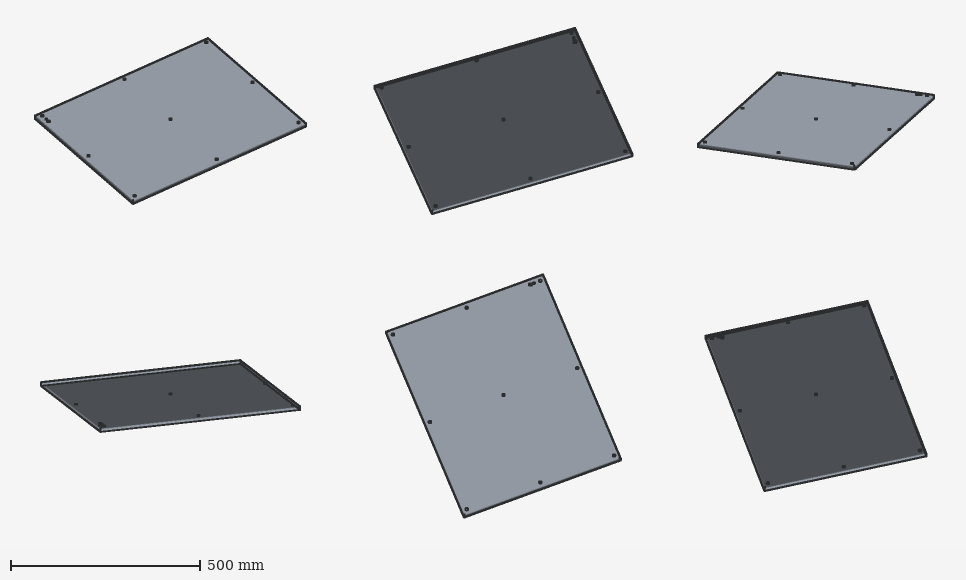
import cadquery as cq

width = 447.0
length = 565.0
height = 12.0
sheet = 1.5
bend_radius = 4.5
corner_gap = 1.0

hole_diameter = 7.0
hole_pitch_x = 209.0
hole_pitch_y = 266.5

small_hole_diameter = 5.0
small_hole_offset = 17.5
stud_offset = 27.5
stud_diameter = 8.5
recess_diameter = 4.5
recess_depth = 4.5
stud_length = 7.0


def bent_channel(span_x, span_y, depth, radius, axis):
    """Solid block whose two top edges parallel to the axis are rounded."""
    block = cq.Workplane("XY").box(span_x, span_y, depth, centered=(True, True, False))
    return block.edges(f"|{axis} and >Z").fillet(radius)


def rounded_block(inset):
    """Block with rounded top edges that meet in mitres, inset from the outer skin."""
    span_x = width - 2 * inset
    span_y = length - 2 * inset
    depth = height - inset
    radius = bend_radius - inset
    across = bent_channel(span_x, span_y, depth, radius, "X")
    along = bent_channel(span_x, span_y, depth, radius, "Y")
    return across.intersect(along)


def vertical_cylinders(points, diameter, depth):
    """Cylinders reaching down from the top face."""
    base = cq.Workplane("XY").workplane(offset=height - depth)
    return base.pushPoints(points).circle(diameter / 2).extrude(depth)


pan = rounded_block(0).cut(rounded_block(sheet))

notches = (
    cq.Workplane("XY")
    .rect(width, length, forConstruction=True)
    .vertices()
    .rect(2 * corner_gap, 2 * corner_gap)
    .extrude(height)
)
pan = pan.cut(notches)

grid = [(i * hole_pitch_x, j * hole_pitch_y) for i in (-1, 0, 1) for j in (-1, 0, 1)]
pan = pan.cut(vertical_cylinders(grid, hole_diameter, height))
small_hole = (-hole_pitch_x + small_hole_offset, -hole_pitch_y)
pan = pan.cut(vertical_cylinders([small_hole], small_hole_diameter, height))

stud_center = (-hole_pitch_x + stud_offset, -hole_pitch_y)
stud = vertical_cylinders([stud_center], stud_diameter, stud_length)

recess = vertical_cylinders([stud_center], recess_diameter, recess_depth)

result = pan.cut(stud).union(stud, clean=False).cut(recess, clean=False)